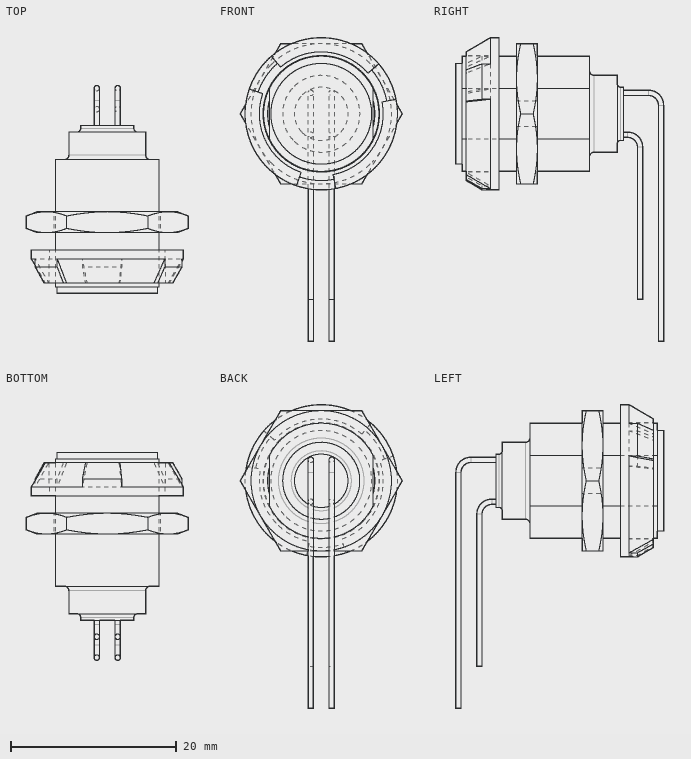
import cadquery as cq
import math


overall_height = 36.78

body_front = 0.77
bezel_front = 1.25
lug_shoulder = 3.2
bezel_shoulder = 4.2
bezel_back = 5.25
nut_front = 7.35
nut_back = 9.9
body_back = 16.22
neck_back = 19.55
cap_back = 20.35

button_radius = 6.1
body_radius = 7.0
neck_radius = 4.67
cap_radius = 3.25
neck_fillet = 0.5
cap_fillet = 0.4
body_width = 12.58

bezel_radius = 9.25
bezel_front_radius = 7.5
bezel_recess_radius = 7.05
lug_front_radius = 8.1
lug_count = 3
lug_span = 30
first_lug_angle = 26
cut_margin = 0.35

nut_corner_diameter = 19.65
nut_bore_radius = 6.47
nut_chamfer_depth = 0.5

wire_radius = 0.33
wire_pitch = 2.55
wire_bend = 1.5
wire_half_pitch = wire_pitch / 2
rear_wire_y = 24.85
front_wire_y = rear_wire_y - wire_pitch
rear_wire_end = bezel_radius - overall_height
front_wire_end = -22.47


def cylinder(radius, front, back):
    return cq.Workplane("XZ", origin=(0, front, 0)).circle(radius).extrude(front - back)


def turned(points, angle=360):
    """Revolve a closed (radius, y) outline about the part axis."""
    return cq.Workplane("XY").polyline(points).close().revolve(angle, (0, 0), (0, 1))


def root_fillet(radius, size, step_y):
    """Flared disc that blends a cylinder into the face it stands on."""
    return (
        cq.Workplane("XY")
        .moveTo(0, step_y)
        .lineTo(radius + size, step_y)
        .radiusArc((radius, step_y + size), size)
        .lineTo(0, step_y + size)
        .close()
        .revolve(360, (0, 0), (0, 1))
    )


def make_body():
    barrel = cylinder(body_radius, body_front, body_back)
    length = body_back - body_front
    slab = cq.Workplane("XY").box(body_width, length, 2 * body_radius)
    body = barrel.intersect(slab.translate((0, body_front + length / 2, 0)))
    body = body.union(cylinder(button_radius, 0, body_front))
    body = body.union(cylinder(neck_radius, body_back, neck_back))
    body = body.union(root_fillet(neck_radius, neck_fillet, body_back))
    body = body.union(cylinder(cap_radius, neck_back, cap_back))
    return body.union(root_fillet(cap_radius, cap_fillet, neck_back))


def make_bezel():
    """Ring with the lug profile all round, cut back to a smaller cone between the lugs."""
    bezel = turned([
        (bezel_recess_radius, bezel_front),
        (lug_front_radius, bezel_front),
        (bezel_radius, lug_shoulder),
        (bezel_radius, bezel_back),
        (body_radius, bezel_back),
        (body_radius, bezel_shoulder),
        (bezel_recess_radius, bezel_shoulder),
    ])
    cone_slope = (bezel_radius - bezel_front_radius) / (bezel_shoulder - bezel_front)
    cutter_radius = bezel_radius + cut_margin
    lug_pitch = 360 / lug_count
    gap_span = lug_pitch - lug_span
    gap_cutter = turned([
        (bezel_front_radius - cut_margin * cone_slope, bezel_front - cut_margin),
        (bezel_radius, bezel_shoulder),
        (cutter_radius, bezel_shoulder),
        (cutter_radius, bezel_front - cut_margin),
    ], gap_span)
    for index in range(lug_count):
        gap_end_angle = first_lug_angle - lug_span / 2 + index * lug_pitch
        bezel = bezel.cut(gap_cutter.rotate((0, 0, 0), (0, 1, 0), -gap_end_angle))
    return bezel


def make_nut():
    corner_radius = nut_corner_diameter / 2
    flat_radius = corner_radius * math.cos(math.pi / 6)
    blank = (
        cq.Workplane("XZ", origin=(0, nut_front, 0))
        .polygon(6, nut_corner_diameter)
        .circle(nut_bore_radius)
        .extrude(nut_front - nut_back)
    )
    chamfer_envelope = turned([
        (0, nut_front),
        (flat_radius, nut_front),
        (corner_radius, nut_front + nut_chamfer_depth),
        (corner_radius, nut_back - nut_chamfer_depth),
        (flat_radius, nut_back),
        (0, nut_back),
    ])
    return blank.intersect(chamfer_envelope)


def make_wire(x, start_z, drop_y, end_z):
    """Wire that leaves the cap along +Y, bends down and ends at end_z."""
    mid_offset = wire_bend * math.sin(math.pi / 4)
    bend_y = drop_y - wire_bend
    bend_z = start_z - wire_bend
    path = (
        cq.Workplane("YZ", origin=(x, 0, 0))
        .moveTo(neck_back, start_z)
        .lineTo(bend_y, start_z)
        .threePointArc((bend_y + mid_offset, bend_z + mid_offset), (drop_y, bend_z))
        .lineTo(drop_y, end_z)
    )
    section = cq.Workplane("XZ", origin=(x, neck_back, start_z)).circle(wire_radius)
    return section.sweep(path)


result = make_body().union(make_bezel()).union(make_nut())
for wire_x in (-wire_half_pitch, wire_half_pitch):
    result = result.union(make_wire(wire_x, wire_pitch, rear_wire_y, rear_wire_end))
    result = result.union(make_wire(wire_x, -wire_pitch, front_wire_y, front_wire_end))